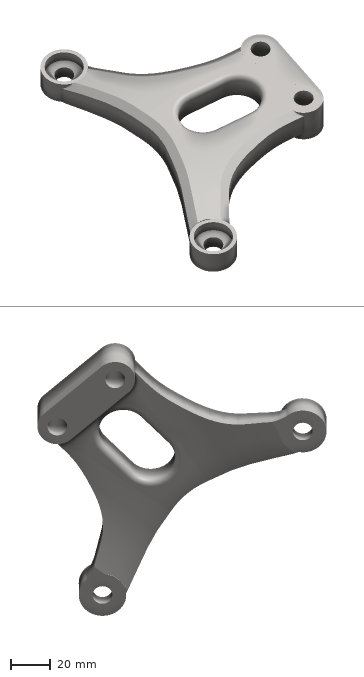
import cadquery as cq
import math

HEIGHT = 20.0
REAR_X = 20.0
REAR_RADIUS = 10.1
FOOT_HEIGHT = 4.9
HOLE_RADIUS = 5.0

FRONT_RADIUS = 12.0
FRONT_X = 81.5 - FRONT_RADIUS
FRONT_Y = -86.9
FRONT_HEIGHT = 13.2
RECESS_RADIUS = 10.0
RECESS_DEPTH = 6.0

ARM_SWEEP = 10.0
SWEEP_PIVOT_Y = -37.8
BEND_START = 19.5
TOP_BEND_RADIUS = 163.0
BOTTOM_BEND_RADIUS = 228.2
ARM_REACH = 97.8
SLAB_HALF_LENGTH = 130.4
CHAMFER_WIDTH = 4.4
CHAMFER_HEIGHT = 2.5

FLANK_POINTS = [
    (-28.7, 0),
    (-29.2, -24.1),
    (-32.5, -37.5),
    (-38.0, -51.5),
    (-47.1, -62.8),
    (-57.4, -69.5),
    (-FRONT_X, FRONT_Y + FRONT_RADIUS),
]
FLANK_TANGENTS = [(0, -1), (-1, -0.2)]
FRONT_EDGE_POINTS = [
    (-62.3, -95.2),
    (-42.7, -87.0),
    (-28.0, -81.2),
    (-13.2, -77.1),
    (0, -75.1),
]
FRONT_EDGE_TANGENTS = [(1, 0.4), (1, 0)]

SLOT_Y = -37.8
SLOT_RADIUS = 12.4
SLOT_STRAIGHT = 20.5
SLOT_FILLET = 3.1
RIM_MARGIN = 0.2


def cylinders(half_spacing, y, radius, height, base=0.0):
    """Two upright cylinders placed symmetrically about the YZ plane."""
    return (
        cq.Workplane("XY", origin=(0, y, base))
        .pushPoints([(-half_spacing, 0), (half_spacing, 0)])
        .circle(radius)
        .extrude(height)
    )


def bend_point(level, radius, distance):
    """Point on a level line that bends down as an arc after BEND_START."""
    drop = radius - math.sqrt(radius**2 - (distance - BEND_START) ** 2)
    return (-distance, level - drop)


def bent_slab():
    """Slab for the left arm, with flat then downward-curving faces."""
    middle = (BEND_START + ARM_REACH) / 2
    slab = (
        cq.Workplane("XZ")
        .moveTo(ARM_REACH, HEIGHT)
        .lineTo(-BEND_START, HEIGHT)
        .threePointArc(
            bend_point(HEIGHT, TOP_BEND_RADIUS, middle),
            bend_point(HEIGHT, TOP_BEND_RADIUS, ARM_REACH),
        )
        .lineTo(*bend_point(FOOT_HEIGHT, BOTTOM_BEND_RADIUS, ARM_REACH))
        .threePointArc(
            bend_point(FOOT_HEIGHT, BOTTOM_BEND_RADIUS, middle),
            (-BEND_START, FOOT_HEIGHT),
        )
        .lineTo(ARM_REACH, FOOT_HEIGHT)
        .close()
        .extrude(SLAB_HALF_LENGTH, both=True)
    )
    return slab.rotate((0, 0, 0), (0, 0, 1), ARM_SWEEP).translate((0, SWEEP_PIVOT_Y, 0))


def rim_edges(plate, near_y):
    """Top edges of the curved side wall whose centre lies nearest the given Y."""
    walls = [face for face in plate.faces().vals() if face.geomType() == "EXTRUSION"]
    wall = min(walls, key=lambda face: abs(face.Center().y - near_y))
    upper_edges = [edge for edge in wall.Edges() if edge.Center().z > wall.Center().z + CHAMFER_HEIGHT]
    return [edge for edge in upper_edges if edge.geomType() != "LINE" or edge.tangentAt(0).z == 0]


def half_plate():
    """Left half of the bent plate, chamfered along its flank and front edge."""
    blank = (
        cq.Workplane("XY")
        .moveTo(0, REAR_RADIUS)
        .lineTo(-REAR_X, REAR_RADIUS)
        .lineTo(*FLANK_POINTS[0])
        .spline(FLANK_POINTS[1:], tangents=FLANK_TANGENTS, includeCurrent=True)
        .lineTo(-FRONT_X, FRONT_Y)
        .lineTo(*FRONT_EDGE_POINTS[0])
        .spline(FRONT_EDGE_POINTS[1:], tangents=FRONT_EDGE_TANGENTS, includeCurrent=True)
        .close()
        .extrude(HEIGHT)
    )
    plate = blank.intersect(bent_slab())
    flank_rim = rim_edges(plate, SLOT_Y)
    plate = cq.Workplane(plate.val().chamfer(CHAMFER_HEIGHT, CHAMFER_WIDTH, flank_rim))
    front_rim = rim_edges(plate, FRONT_Y)
    return cq.Workplane(plate.val().chamfer(CHAMFER_WIDTH, CHAMFER_HEIGHT, front_rim))


def make_rear_mount():
    """Obround foot with two posts, drilled through."""
    block = (
        cq.Workplane("XY")
        .slot2D(2 * (REAR_X + REAR_RADIUS), 2 * REAR_RADIUS)
        .extrude(HEIGHT)
    )
    gap = (
        cq.Workplane("XY", origin=(0, 0, FOOT_HEIGHT))
        .rect(2 * REAR_X, 2 * REAR_RADIUS)
        .extrude(HEIGHT - FOOT_HEIGHT)
        .cut(cylinders(REAR_X, 0, REAR_RADIUS, HEIGHT))
    )
    return block.cut(gap).cut(cylinders(REAR_X, 0, HOLE_RADIUS, HEIGHT))


def cut_slot(plate):
    """Cut the central slot and round its upper and lower rims."""
    length = SLOT_STRAIGHT + 2 * SLOT_RADIUS
    slot = (
        cq.Workplane("XY", origin=(0, SLOT_Y, 0))
        .slot2D(length, 2 * SLOT_RADIUS, 90)
        .extrude(HEIGHT)
    )
    plate = plate.cut(slot)
    for level in (FOOT_HEIGHT, HEIGHT):
        rim = cq.selectors.BoxSelector(
            (-SLOT_RADIUS - RIM_MARGIN, SLOT_Y - length / 2 - RIM_MARGIN, level - RIM_MARGIN),
            (SLOT_RADIUS + RIM_MARGIN, SLOT_Y + length / 2 + RIM_MARGIN, level + RIM_MARGIN),
        )
        plate = plate.edges(rim).fillet(SLOT_FILLET)
    return plate


def make_bracket():
    """Slotted plate with two arms ending in recessed bosses."""
    left = half_plate()
    plate = cut_slot(left.union(left.mirror("YZ")).clean())
    plate = plate.cut(cylinders(FRONT_X, FRONT_Y, FRONT_RADIUS, HEIGHT))
    bracket = plate.union(cylinders(FRONT_X, FRONT_Y, FRONT_RADIUS, FRONT_HEIGHT))
    bracket = bracket.cut(cylinders(FRONT_X, FRONT_Y, HOLE_RADIUS, FRONT_HEIGHT))
    recess_floor = FRONT_HEIGHT - RECESS_DEPTH
    bracket = bracket.cut(cylinders(FRONT_X, FRONT_Y, RECESS_RADIUS, RECESS_DEPTH, recess_floor))
    return bracket.cut(cylinders(REAR_X, 0, REAR_RADIUS, HEIGHT))


rear_mount = make_rear_mount()
bracket = make_bracket()
result = cq.Compound.makeCompound([rear_mount.val(), *bracket.solids().vals()])